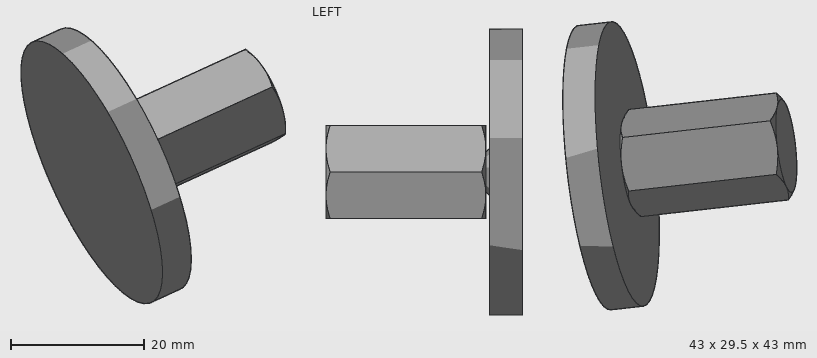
import cadquery as cq
import math

disc_diameter = 43.0
disc_thickness = 5.0

neck_base_diameter = 7.0
neck_tip_diameter = 6.0
neck_length = 0.5

hex_across_flats = 14.0
hex_length = 24.0
hex_end_diameter = hex_across_flats
hex_chamfer_angle = 30.0

hex_across_corners = hex_across_flats / math.cos(math.radians(30))
hex_start = disc_thickness + neck_length
hex_end = hex_start + hex_length


def revolve_about_y(outline):
    """Revolve a closed outline of (radius, y) points about the Y axis."""
    return cq.Workplane("XY").polyline(outline).close().revolve(360, (0, 0, 0), (0, 1, 0))


def make_disc():
    """Plain round plate with a short conical neck that spaces the hexagon off it."""
    return revolve_about_y([
        (0, 0),
        (disc_diameter / 2, 0),
        (disc_diameter / 2, disc_thickness),
        (neck_base_diameter / 2, disc_thickness),
        (neck_tip_diameter / 2, hex_start),
        (0, hex_start),
    ])


def make_standoff():
    """Hexagonal standoff with corners along X, its corners chamfered conically at both ends."""
    bar = (
        cq.Workplane("XZ", origin=(0, hex_start, 0))
        .polygon(6, hex_across_corners)
        .extrude(-hex_length)
    )
    end_radius = hex_end_diameter / 2
    corner_radius = hex_across_corners / 2
    chamfer_length = (corner_radius - end_radius) * math.tan(math.radians(hex_chamfer_angle))
    envelope = revolve_about_y([
        (0, hex_start),
        (end_radius, hex_start),
        (corner_radius, hex_start + chamfer_length),
        (corner_radius, hex_end - chamfer_length),
        (end_radius, hex_end),
        (0, hex_end),
    ])
    return bar.intersect(envelope)


disc = make_disc()
standoff = make_standoff()

result = cq.Compound.makeCompound([disc.val(), standoff.val()])